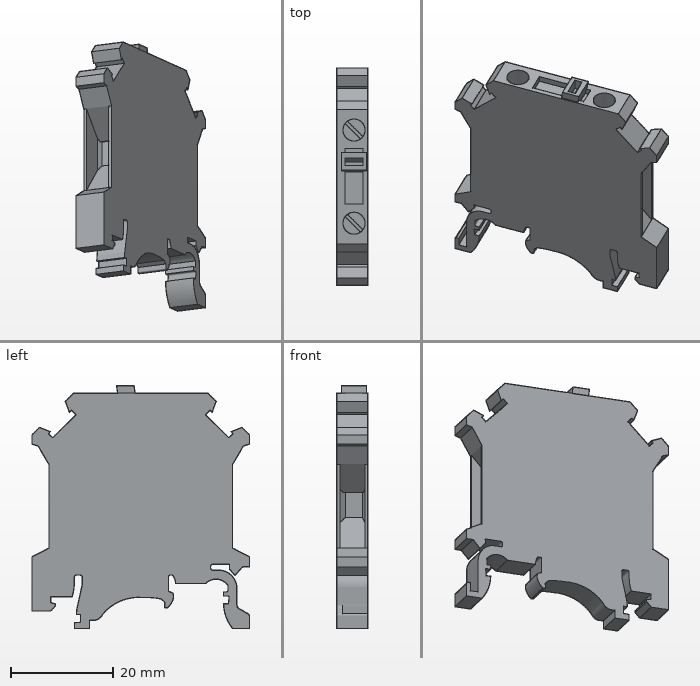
import cadquery as cq


THICKNESS = 6.15
LENGTH = 42.52
KNOB_HEIGHT = 1.5
HEIGHT = 47.5
TOP = HEIGHT - KNOB_HEIGHT
SIDE = LENGTH / 2
CENTRE_X = 3.42

WALL_Y = 17.97
WALL_TOP = 32.1
WALL_BOTTOM = 15.75
LEDGE_Z = 14.05

FIXED_FOOT_Z = 3.43
RAIL_SEAT_Z = 6.2
SLOT_TOP = 10.45
SPRING_SEAT_Z = 8.8
PLINTH_Z = 1.65
ARCH_Z = 6.07
HOOK_ROOT_Y = 17.55
FOOT_SLOT_OUTER_Y = 12.95
FOOT_SLOT_INNER_Y = 11.43
NOTCH_TOP = 2.77
NOTCH_ROOT_Y = 11.8
LEG_OUTER_Y = 12.97
LEG_INNER_Y = 9.97
FINGER_Y = -4.65
FINGER_TIP_Z = 4.05
FINGER_BACK_Y = -5.45
FINGER_SLOT_Y = -6.25
HINGE_TOP = 12.57
HINGE_BOTTOM = 11.43
HINGE_END_Y = -13.65
HINGE_MOUTH_Y = -17.3
SPRING_STOP_Z = 12.07

SPRING_OUTER_Y = -18.8
FOOT_CORNER_Z = 2.77
RAMP_TOP_Z = 4.16
RAMP_ROOT_RADIUS = 0.95
FOOT_CORNER_RADIUS = 0.55
GROOVE_START_X = 1.2
GROOVE_INNER_Y = -18.82
GROOVE_OUTER_Y = -20.45
GROOVE_FLOOR_Z = 1.2
LIP_Z = 2.93
SPRING_ARM_TOP = 8.05
ARM_CATCH_TOP = 7.2
ARM_NOTCH_TOP = 6.38
ARM_NOTCH_BOTTOM = 4.9
ARM_INNER_Y = -17.0
ARM_TOOTH_Y = -16.15
ARM_NOTCH_Y = -17.27

ENTRY_LEFT_X = 0.65
ENTRY_RIGHT_X = 5.55
ENTRY_THROAT_WIDTH = 3.25
ENTRY_THROAT_BOTTOM = 21.77
ENTRY_THROAT_TOP = 26.57
ENTRY_DEPTH = 5.45
ENTRY_CEILING_DEPTH = 5.1
ENTRY_TAPER_DEPTH = 4.5

SCREW_Y = 9.1
SCREW_DIAMETER = 4.3
SCREW_HEAD_DEPTH = 5.0
SCREW_SLOT_WIDTH = 0.65
SCREW_SLOT_DEPTH = 1.0
SCREW_SLOT_ANGLE = -45

RECESS_WIDTH = 3.6
RECESS_FRONT_Y = -5.3
RECESS_BACK_Y = 5.5
RECESS_DEPTH = 1.2
KNOB_WIDTH = 4.9
KNOB_FRONT_Y = 1.29
KNOB_BACK_Y = 4.75
KNOB_LEAN = 0.14
KNOB_SLOT_FRONT_Y = 2.2
KNOB_SLOT_BACK_Y = 3.65
KNOB_SLOT_FLOOR_BACK_Y = 2.85
KNOB_SLOT_DEPTH = 2.1

SLOT_RADIUS = 0.4
TIP_RADIUS = 0.25
HINGE_RADIUS = 0.5


def prism(points, x_start, x_end):
    """Solid with a polygonal YZ section between two X positions."""
    return cq.Workplane("YZ", origin=(x_start, 0, 0)).polyline(points).close().extrude(x_end - x_start)


def box(x_range, y_range, z_range):
    """Axis-aligned box from its limits."""
    size = [high - low for low, high in (x_range, y_range, z_range)]
    corner = (x_range[0], y_range[0], z_range[0])
    return cq.Workplane("XY", origin=corner).box(*size, centered=False)


def shoulder_points():
    """Upper +Y outline from the top face down to the ledge under the wire entry."""
    return [
        (13.15, TOP),
        (14.75, 44.4),
        (13.95, 42.25),
        (13.52, 42.65),
        (12.68, 41.8),
        (17.2, 37.32),
        (18.0, 38.1),
        (17.65, 38.5),
        (19.76, 39.35),
        (SIDE, 37.85),
        (SIDE, 36.05),
        (20.06, 35.68),
        (WALL_Y, WALL_TOP),
        (WALL_Y, WALL_BOTTOM),
        (SIDE, LEDGE_Z),
    ]


def add_points(sketch, points):
    """Continue an outline with straight lines."""
    for point in points:
        sketch = sketch.lineTo(*point)
    return sketch


def add_fixed_foot(sketch):
    """Rigid +Y foot with its hook, and the slot beside it."""
    sketch = add_points(sketch, [
        (SIDE, FIXED_FOOT_Z),
        (17.6, FIXED_FOOT_Z),
        (16.65, 4.45),
        (16.65, 4.85),
        (HOOK_ROOT_Y, 5.1),
        (HOOK_ROOT_Y, RAIL_SEAT_Z),
        (13.4, RAIL_SEAT_Z),
    ])
    sketch = sketch.threePointArc((13.1, 7.4), (FOOT_SLOT_OUTER_Y, 8.9))
    return add_points(sketch, [
        (FOOT_SLOT_OUTER_Y, SLOT_TOP),
        (FOOT_SLOT_INNER_Y, SLOT_TOP),
        (FOOT_SLOT_INNER_Y, 8.7),
        (12.5, 3.85),
        (12.6, NOTCH_TOP),
    ])


def add_plinth_and_arch(sketch):
    """Middle leg with its rail notch, and the arched underside next to it."""
    sketch = add_points(sketch, [
        (NOTCH_ROOT_Y, NOTCH_TOP),
        (NOTCH_ROOT_Y, 1.27),
        (LEG_OUTER_Y, 1.2),
        (LEG_OUTER_Y, 0),
        (LEG_INNER_Y, 0),
        (LEG_INNER_Y, PLINTH_Z),
        (8.85, PLINTH_Z),
    ])
    sketch = sketch.threePointArc((8.1, 2.0), (7.43, 2.8))
    sketch = sketch.threePointArc((3.92, 5.4), (-0.5, ARCH_Z))
    return sketch.threePointArc((-2.3, 6.03), (-3.95, 5.8))


def add_finger(sketch):
    """Hooked finger at the end of the arch, and the slot behind it."""
    sketch = add_points(sketch, [(FINGER_Y, 5.2), (FINGER_Y, FINGER_TIP_Z), (-5.2, FINGER_TIP_Z)])
    sketch = sketch.threePointArc((-5.8, 4.7), (-6.2, 5.4))
    sketch = sketch.threePointArc((-6.42, 6.2), (-6.3, 6.95))
    sketch = add_points(sketch, [(FINGER_BACK_Y, 7.33), (FINGER_BACK_Y, SLOT_TOP), (FINGER_SLOT_Y, SLOT_TOP)])
    sketch = sketch.threePointArc((-6.6, 9.75), (-6.8, SPRING_SEAT_Z))
    return sketch.lineTo(-12.67, SPRING_SEAT_Z)


def add_spring_foot(sketch):
    """Curved spring arm with its rail catch, the release foot and the hinge slot."""
    sketch = sketch.threePointArc((-14.9, 9.65), (ARM_INNER_Y, 8.5))
    sketch = add_points(sketch, [
        (ARM_INNER_Y, ARM_CATCH_TOP),
        (ARM_TOOTH_Y, ARM_CATCH_TOP),
        (ARM_TOOTH_Y, ARM_NOTCH_TOP),
        (ARM_NOTCH_Y, ARM_NOTCH_TOP),
        (-17.1, ARM_NOTCH_BOTTOM),
        (ARM_TOOTH_Y, ARM_NOTCH_BOTTOM),
    ])
    sketch = sketch.threePointArc((-16.6, 2.4), (-17.95, 0))
    sketch = add_points(sketch, [
        (-SIDE, 0),
        (-SIDE, FOOT_CORNER_Z),
        (SPRING_OUTER_Y, RAMP_TOP_Z),
        (SPRING_OUTER_Y, SPRING_ARM_TOP),
    ])
    sketch = sketch.threePointArc((-17.85, 10.3), (-15.7, HINGE_BOTTOM))
    return add_points(sketch, [
        (HINGE_END_Y, HINGE_BOTTOM),
        (HINGE_END_Y, HINGE_TOP),
        (HINGE_MOUTH_Y, HINGE_TOP),
        (HINGE_MOUTH_Y, 11.65),
        (-18.42, 10.4),
        (-19.9, SPRING_STOP_Z),
        (-SIDE, SPRING_STOP_Z),
    ])


def make_housing():
    """Extruded housing section with its rounded corners."""
    shoulder = shoulder_points()
    sketch = cq.Workplane("YZ").moveTo(*shoulder[0])
    sketch = add_points(sketch, shoulder[1:])
    sketch = add_fixed_foot(sketch)
    sketch = add_plinth_and_arch(sketch)
    sketch = add_finger(sketch)
    sketch = add_spring_foot(sketch)
    sketch = add_points(sketch, [(-y, z) for y, z in reversed(shoulder)])
    housing = sketch.close().extrude(THICKNESS)

    rounded_corners = [
        (FOOT_SLOT_OUTER_Y, SLOT_TOP, SLOT_RADIUS),
        (FOOT_SLOT_INNER_Y, SLOT_TOP, SLOT_RADIUS),
        (FINGER_BACK_Y, SLOT_TOP, TIP_RADIUS),
        (FINGER_SLOT_Y, SLOT_TOP, TIP_RADIUS),
        (FINGER_Y, FINGER_TIP_Z, TIP_RADIUS),
        (ARM_INNER_Y, ARM_CATCH_TOP, TIP_RADIUS),
        (ARM_NOTCH_Y, ARM_NOTCH_TOP, TIP_RADIUS),
        (HINGE_END_Y, HINGE_BOTTOM, HINGE_RADIUS),
        (HINGE_END_Y, HINGE_TOP, HINGE_RADIUS),
        (SPRING_OUTER_Y, RAMP_TOP_Z, RAMP_ROOT_RADIUS),
        (-SIDE, FOOT_CORNER_Z, FOOT_CORNER_RADIUS),
    ]
    for y, z, radius in rounded_corners:
        corner = cq.selectors.NearestToPointSelector((THICKNESS / 2, y, z))
        housing = housing.edges("|X").edges(corner).fillet(radius)
    return housing


def make_foot_groove():
    """Tool groove across the release foot behind a flat lip, leaving a rib at the X = 0 side."""
    x_range = (GROOVE_START_X, THICKNESS)
    groove = box(x_range, (GROOVE_OUTER_Y, GROOVE_INNER_Y), (GROOVE_FLOOR_Z, SPRING_ARM_TOP))
    lip_relief = box(x_range, (-SIDE, GROOVE_INNER_Y), (LIP_Z, SPRING_ARM_TOP))
    return groove.union(lip_relief)


def make_wire_entry():
    """Funnel in the -Y wall: sloped floor and roof, sides converging near the throat."""
    throat_y = -WALL_Y + ENTRY_DEPTH
    elevation = prism([
        (-WALL_Y, WALL_BOTTOM),
        (throat_y, ENTRY_THROAT_BOTTOM),
        (throat_y, ENTRY_THROAT_TOP),
        (-WALL_Y + ENTRY_CEILING_DEPTH, ENTRY_THROAT_TOP),
        (-WALL_Y, WALL_TOP),
    ], 0, THICKNESS)
    taper_y = -WALL_Y + ENTRY_TAPER_DEPTH
    half_throat = ENTRY_THROAT_WIDTH / 2
    plan = (
        cq.Workplane("XY", origin=(0, 0, WALL_BOTTOM))
        .polyline([
            (ENTRY_LEFT_X, -WALL_Y),
            (ENTRY_LEFT_X, taper_y),
            (CENTRE_X - half_throat, throat_y),
            (CENTRE_X + half_throat, throat_y),
            (ENTRY_RIGHT_X, taper_y),
            (ENTRY_RIGHT_X, -WALL_Y),
        ])
        .close()
        .extrude(WALL_TOP - WALL_BOTTOM)
    )
    return elevation.intersect(plan)


def make_screw_hole(y):
    """Round hole down to the screw head, with the driver slot in the head."""
    head_z = TOP - SCREW_HEAD_DEPTH
    radius = SCREW_DIAMETER / 2
    hole = cq.Workplane("XY", origin=(CENTRE_X, y, head_z)).circle(radius).extrude(SCREW_HEAD_DEPTH)
    slot_plane = cq.Workplane("XY", origin=(CENTRE_X, y, head_z - SCREW_SLOT_DEPTH))
    slot = (
        slot_plane.transformed(rotate=(0, 0, SCREW_SLOT_ANGLE))
        .rect(SCREW_DIAMETER, SCREW_SLOT_WIDTH)
        .extrude(SCREW_SLOT_DEPTH)
        .intersect(slot_plane.circle(radius).extrude(SCREW_SLOT_DEPTH))
    )
    return hole.union(slot)


def make_top_recess():
    """Shallow guide recess of the knob."""
    half = RECESS_WIDTH / 2
    return box(
        (CENTRE_X - half, CENTRE_X + half),
        (RECESS_FRONT_Y, RECESS_BACK_Y),
        (TOP - RECESS_DEPTH, TOP),
    )


def make_knob():
    """Leaning knob standing on the recess floor."""
    base_z = TOP - RECESS_DEPTH
    shift = KNOB_LEAN * (HEIGHT - base_z)
    half = KNOB_WIDTH / 2
    return prism([
        (KNOB_FRONT_Y, HEIGHT),
        (KNOB_BACK_Y, HEIGHT),
        (KNOB_BACK_Y - shift, base_z),
        (KNOB_FRONT_Y - shift, base_z),
    ], CENTRE_X - half, CENTRE_X + half)


def make_knob_slot():
    """Driver slot in the knob, with a sloped +Y face."""
    floor_z = HEIGHT - KNOB_SLOT_DEPTH
    half = RECESS_WIDTH / 2
    return prism([
        (KNOB_SLOT_FRONT_Y, HEIGHT),
        (KNOB_SLOT_BACK_Y, HEIGHT),
        (KNOB_SLOT_FLOOR_BACK_Y, floor_z),
        (KNOB_SLOT_FRONT_Y, floor_z),
    ], CENTRE_X - half, CENTRE_X + half)


wire_entry = make_wire_entry()

result = make_housing().cut(make_foot_groove())
result = result.cut(wire_entry).cut(wire_entry.mirror("XZ"))
for screw_y in (-SCREW_Y, SCREW_Y):
    result = result.cut(make_screw_hole(screw_y))
result = result.cut(make_top_recess()).union(make_knob()).cut(make_knob_slot())